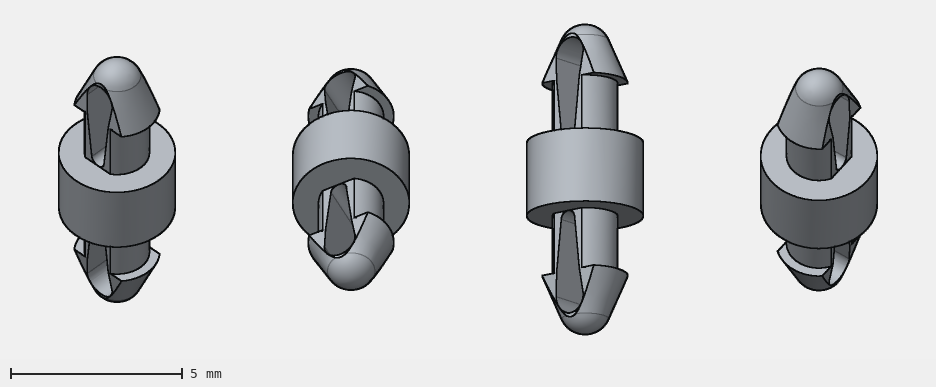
import cadquery as cq
import math

total_height = 9.3
collar_diameter = 3.4
collar_height = 2.2

shaft_diameter = 1.9
shaft_length = 1.8
barb_diameter = 2.5
nose_diameter = 1.38
nose_height = 0.45
post_width = 1.6
head_taper = 6.0

slot_inner_radius = 0.25
slot_outer_radius = 0.5
slot_outer_wall = 0.5

tip_z = total_height / 2
collar_z = collar_height / 2
barb_z = collar_z + shaft_length
nose_z = tip_z - nose_height


def make_shaft():
    """Round shaft with two parallel flats, rooted at the mid-plane."""
    shaft = cq.Workplane("XY").circle(shaft_diameter / 2).extrude(barb_z)
    flats = cq.Workplane("XY").rect(shaft_diameter, post_width).extrude(barb_z)
    return shaft.intersect(flats)


def make_head():
    """Conical barb with a domed nose, trimmed by two leaning flats."""
    nose_radius = nose_diameter / 2
    dome_radius = (nose_radius**2 + nose_height**2) / (2 * nose_height)
    dome_half_angle = math.asin(nose_radius / dome_radius) / 2
    dome_middle = (
        dome_radius * math.sin(dome_half_angle),
        tip_z - dome_radius * (1 - math.cos(dome_half_angle)),
    )
    head = (
        cq.Workplane("XZ")
        .moveTo(0, barb_z)
        .lineTo(barb_diameter / 2, barb_z)
        .lineTo(nose_radius, nose_z)
        .threePointArc(dome_middle, (0, tip_z))
        .close()
        .revolve(360, (0, 0), (0, 1))
    )
    head_height = tip_z - barb_z
    base_half_width = post_width / 2
    tip_half_width = base_half_width - head_height * math.tan(math.radians(head_taper))
    flats = (
        cq.Workplane("YZ")
        .moveTo(-base_half_width, barb_z)
        .lineTo(base_half_width, barb_z)
        .lineTo(tip_half_width, tip_z)
        .lineTo(-tip_half_width, tip_z)
        .close()
        .extrude(barb_diameter / 2, both=True)
    )
    return head.intersect(flats)


def make_slot():
    """Teardrop slot: two round ends joined by their common tangents."""
    inner_z = collar_z + slot_inner_radius
    outer_z = tip_z - slot_outer_wall - slot_outer_radius
    wall_sine = (slot_outer_radius - slot_inner_radius) / (outer_z - inner_z)
    wall_cosine = math.sqrt(1 - wall_sine**2)
    inner_x = slot_inner_radius * wall_cosine
    inner_tangent_z = inner_z - slot_inner_radius * wall_sine
    outer_x = slot_outer_radius * wall_cosine
    outer_tangent_z = outer_z - slot_outer_radius * wall_sine
    return (
        cq.Workplane("XZ")
        .moveTo(inner_x, inner_tangent_z)
        .lineTo(outer_x, outer_tangent_z)
        .threePointArc((0, outer_z + slot_outer_radius), (-outer_x, outer_tangent_z))
        .lineTo(-inner_x, inner_tangent_z)
        .threePointArc((0, collar_z), (inner_x, inner_tangent_z))
        .close()
        .extrude(post_width, both=True)
    )


def make_collar():
    """Plain round collar centred on the mid-plane."""
    bottom_face = cq.Workplane("XY").workplane(offset=-collar_z)
    return bottom_face.circle(collar_diameter / 2).extrude(collar_height)


slot = make_slot()
upper_post = make_shaft().union(make_head())
lower_post = upper_post.mirror("XY")
result = make_collar().union(upper_post).union(lower_post)
result = result.cut(slot).cut(slot.mirror("XY"))